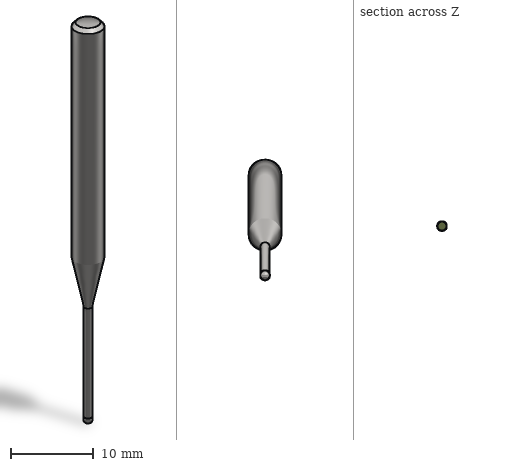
import cadquery as cq
import math

total_length = 55.0
shank_radius = 2.0
top_chamfer_radial = 0.5
top_chamfer_height = 0.55
cone_top_z = 22.75
cone_half_angle = math.radians(12.0)
blend_top_z = 16.85
blend_bottom_z = 15.5
split_z = 16.0
neck_radius = 0.55
ball_radius = 0.6
tip_height = 0.95

blend_height = blend_top_z - blend_bottom_z
blend_radius = blend_height / math.sin(cone_half_angle)

split_angle = math.asin((split_z - blend_bottom_z) / blend_radius)


def blend_point(angle):
    """Radius and height on the blend arc after turning by angle from the neck."""
    radius = neck_radius + blend_radius * (1 - math.cos(angle))
    height = blend_bottom_z + blend_radius * math.sin(angle)
    return radius, height


def revolve_about_z(profile):
    """Turn a closed radius-height profile on the XZ plane around the Z axis."""
    return profile.close().revolve(360, (0, 0, 0), (0, 1, 0))


def make_shank():
    """Chamfered shank and taper, with the upper part of the blend."""
    blend_middle_angle = (split_angle + cone_half_angle) / 2
    profile = (
        cq.Workplane("XZ")
        .moveTo(0, split_z)
        .lineTo(*blend_point(split_angle))
        .threePointArc(blend_point(blend_middle_angle), blend_point(cone_half_angle))
        .lineTo(shank_radius, cone_top_z)
        .lineTo(shank_radius, total_length - top_chamfer_height)
        .lineTo(shank_radius - top_chamfer_radial, total_length)
        .lineTo(0, total_length)
    )
    return revolve_about_z(profile)


def make_cutter():
    """Ball tip with a short cylindrical land, slim neck and the lower part of the blend."""
    arc_offset = ball_radius * math.sin(math.radians(45))
    profile = (
        cq.Workplane("XZ")
        .moveTo(0, 0)
        .threePointArc((arc_offset, ball_radius - arc_offset), (ball_radius, ball_radius))
        .lineTo(ball_radius, tip_height)
        .lineTo(neck_radius, tip_height)
        .lineTo(neck_radius, blend_bottom_z)
        .threePointArc(blend_point(split_angle / 2), blend_point(split_angle))
        .lineTo(0, split_z)
    )
    return revolve_about_z(profile)


shank = make_shank()
cutter = make_cutter()

result = cq.Compound.makeCompound([shank.val(), cutter.val()])